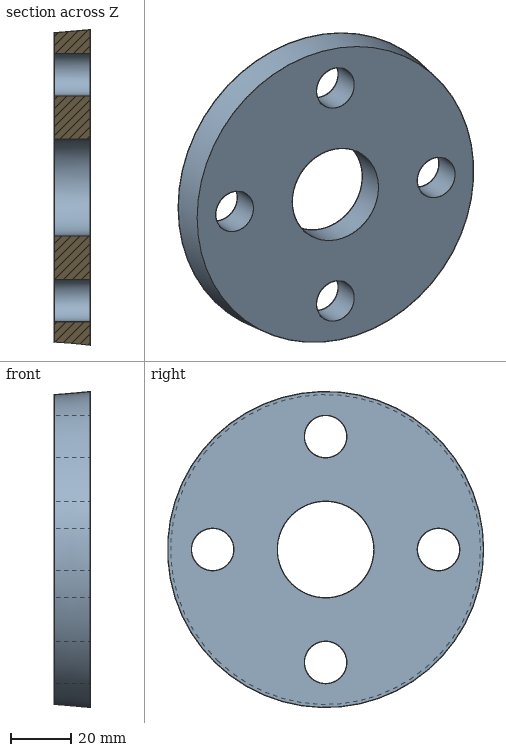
import cadquery as cq
import math

thickness = 12.0
outer_diameter = 105.0
rim_taper_angle = 5.0
bore_diameter = 32.0
bolt_hole_diameter = 14.0
bolt_circle_diameter = 75.0
bolt_hole_count = 4

large_radius = outer_diameter / 2
small_radius = large_radius - thickness * math.tan(math.radians(rim_taper_angle))


def make_tapered_disc():
    """Disc around the X axis, from the small face at X = 0 to the large face."""
    half_section = (
        cq.Workplane("XY")
        .moveTo(0, 0)
        .lineTo(0, small_radius)
        .lineTo(thickness, large_radius)
        .lineTo(thickness, 0)
        .close()
    )
    return half_section.revolve(360, (0, 0, 0), (1, 0, 0))


def make_bore():
    """Cylinder for the central through bore."""
    return cq.Workplane("YZ").circle(bore_diameter / 2).extrude(thickness)


def make_bolt_holes():
    """Cylinders for the through holes, evenly spaced on the bolt circle."""
    return (
        cq.Workplane("YZ")
        .polarArray(bolt_circle_diameter / 2, 0, 360, bolt_hole_count)
        .circle(bolt_hole_diameter / 2)
        .extrude(thickness)
    )


result = make_tapered_disc().cut(make_bore()).cut(make_bolt_holes())